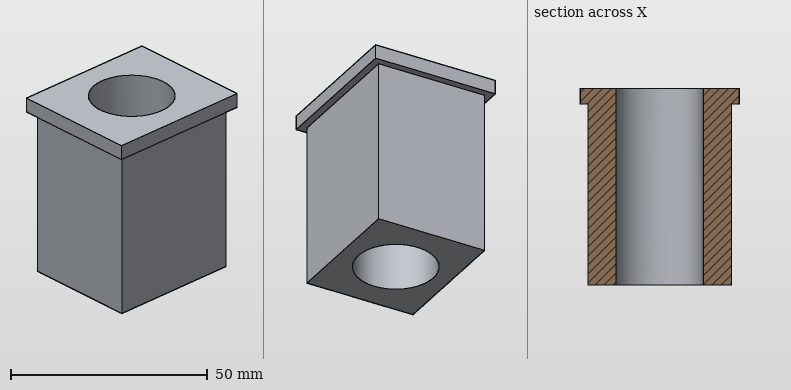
import cadquery as cq

flange_x = 35.1
flange_y = 40.5
total_height = 50.0
flange_thickness = 4.0
flange_overhang = 2.0
bore_diameter = 22.0

body_x = flange_x - 2 * flange_overhang
body_y = flange_y - 2 * flange_overhang
body_height = total_height - flange_thickness

body = cq.Workplane("XY").rect(body_x, body_y).extrude(body_height)

flange = (
    cq.Workplane("XY")
    .workplane(offset=body_height)
    .rect(flange_x, flange_y)
    .extrude(flange_thickness)
)

bore = cq.Workplane("XY").circle(bore_diameter / 2).extrude(total_height)

result = body.union(flange).cut(bore)